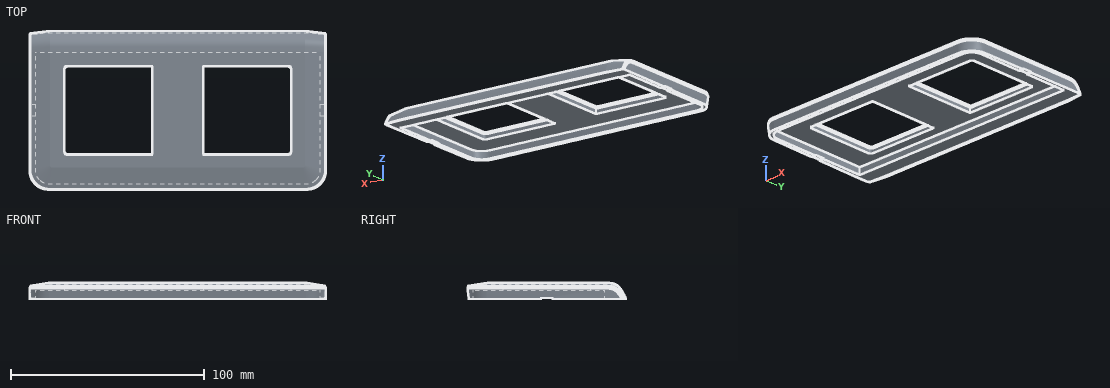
import cadquery as cq

LENGTH = 153.0
HALF_LENGTH = LENGTH / 2
FRONT_Y = -41.0
BACK_Y = 41.0
BEND_Y = 29.8
CORNER_RADIUS = 10.1
HEIGHT = 8.5

CROWN_HALF_LENGTH = 65.8
CROWN_FRONT_Y = -29.7
CROWN_CORNER_RADIUS = 1.2
CROWN_THICKNESS = 1.0
CROWN_SEAM_HEIGHT = HEIGHT - CROWN_THICKNESS
CROWN_SEAM_BACK_Y = BACK_Y - CROWN_THICKNESS

RIM_INSET = 0.5
RIM_HALF_LENGTH = HALF_LENGTH - RIM_INSET
RIM_TOP_HEIGHT = 6.9
RIM_SEAM_HEIGHT = 6.5
RIM_TOP_BACK_Y = 39.8
RIM_SEAM_BACK_Y = 39.5

WALL_HEIGHT = 5.5
WALL_BACK_Y = 38.9
WALL_DRAFT = 0.8
SKIRT_THICKNESS = 2.3
CAVITY_HEIGHT = 4.5
NOTCH_WIDTH = 5.8
NOTCH_HEIGHT = 0.5

WINDOW_OFFSET = 35.8
WINDOW_LENGTH = 45.3
COVER_WINDOW_WIDTH = 45.9
BASE_WINDOW_WIDTH = 45.0
WINDOW_CORNER_RADIUS = 1.4

BEND_FLAT_RUN = 0.6
BEND_STEEP_RUN = 0.7
BEND_STEEP_HEIGHT = 0.8


def plan_outline(z, half_length, front_y, radius, back_half_length=None):
    """Outline at height z, with two round front corners and a straight back on the bend line."""
    x_back = back_half_length or half_length
    x_corner = half_length - radius
    y_corner = front_y + radius
    diagonal = radius * 0.5 ** 0.5
    return (
        cq.Workplane("XY", origin=(0, 0, z))
        .moveTo(-x_back, BEND_Y)
        .lineTo(-half_length, y_corner)
        .threePointArc((-x_corner - diagonal, y_corner - diagonal), (-x_corner, front_y))
        .lineTo(x_corner, front_y)
        .threePointArc((x_corner + diagonal, y_corner - diagonal), (half_length, y_corner))
        .lineTo(x_back, BEND_Y)
        .close()
        .val()
    )


def inset_outline(z, inset, back_half_length=None):
    """Outer outline of the frame moved inwards, about the same corner centres."""
    return plan_outline(
        z, HALF_LENGTH - inset, FRONT_Y + inset, CORNER_RADIUS - inset, back_half_length
    )


def crown_outline(z):
    return plan_outline(z, CROWN_HALF_LENGTH, CROWN_FRONT_Y, CROWN_CORNER_RADIUS)


def bend_profile(x, height, back_y):
    """Cross-section at x of the back, rolling from the given height down to z = 0."""
    run = back_y - BEND_Y
    return (
        cq.Workplane("YZ", origin=(x, 0, 0))
        .moveTo(BEND_Y, 0)
        .lineTo(BEND_Y, height)
        .bezier(
            [
                (BEND_Y, height),
                (BEND_Y + BEND_FLAT_RUN * run, height),
                (BEND_Y + BEND_STEEP_RUN * run, BEND_STEEP_HEIGHT * height),
                (back_y, 0),
            ]
        )
        .close()
        .val()
    )


def rolled_back(stations):
    """Back of the frame through (x, height, back_y) stations, the same at both ends."""
    left = [bend_profile(-x, height, back_y) for x, height, back_y in stations]
    right = [bend_profile(x, height, back_y) for x, height, back_y in reversed(stations)]
    return cq.Workplane(cq.Solid.makeLoft(left + right, True))


def window_cutters(width):
    """Two through blocks, rounded at the corners facing the ends of the frame."""
    cutters = cq.Workplane()
    for side, outer_edges in ((-1, "|Z and <X"), (1, "|Z and >X")):
        block = (
            cq.Workplane("XY")
            .center(side * WINDOW_OFFSET, 0)
            .rect(WINDOW_LENGTH, width)
            .extrude(HEIGHT)
            .edges(outer_edges)
            .fillet(WINDOW_CORNER_RADIUS)
        )
        cutters = cutters.add(block)
    return cutters.combine()


def make_base_form():
    front = cq.Workplane(
        cq.Solid.makeLoft(
            [
                inset_outline(0, WALL_DRAFT, HALF_LENGTH),
                inset_outline(WALL_HEIGHT, 0),
                inset_outline(RIM_SEAM_HEIGHT, RIM_INSET),
                crown_outline(CROWN_SEAM_HEIGHT),
            ],
            True,
        )
    )
    back = rolled_back(
        [
            (HALF_LENGTH, WALL_HEIGHT, WALL_BACK_Y),
            (RIM_HALF_LENGTH, RIM_SEAM_HEIGHT, RIM_SEAM_BACK_Y),
            (CROWN_HALF_LENGTH, CROWN_SEAM_HEIGHT, CROWN_SEAM_BACK_Y),
        ]
    )
    return front.union(back)


def make_base(form):
    cavity_outline = inset_outline(0, WALL_DRAFT + SKIRT_THICKNESS)
    cavity = cq.Workplane(cavity_outline).toPending().extrude(CAVITY_HEIGHT)
    notches = cq.Workplane("XY").rect(LENGTH, NOTCH_WIDTH).extrude(NOTCH_HEIGHT)
    return form.cut(cavity).cut(notches).cut(window_cutters(BASE_WINDOW_WIDTH))


def make_cover(form):
    front = cq.Workplane(
        cq.Solid.makeLoft(
            [
                inset_outline(RIM_SEAM_HEIGHT, RIM_INSET),
                inset_outline(RIM_TOP_HEIGHT, RIM_INSET),
                crown_outline(HEIGHT),
            ],
            True,
        )
    )
    back = rolled_back(
        [
            (RIM_HALF_LENGTH, RIM_TOP_HEIGHT, RIM_TOP_BACK_Y),
            (CROWN_HALF_LENGTH, HEIGHT, BACK_Y),
        ]
    )
    return front.union(back).cut(form).cut(window_cutters(COVER_WINDOW_WIDTH))


base_form = make_base_form()
base = make_base(base_form)
cover = make_cover(base_form)

result = cq.Compound.makeCompound([base.solids().val(), cover.solids().val()])